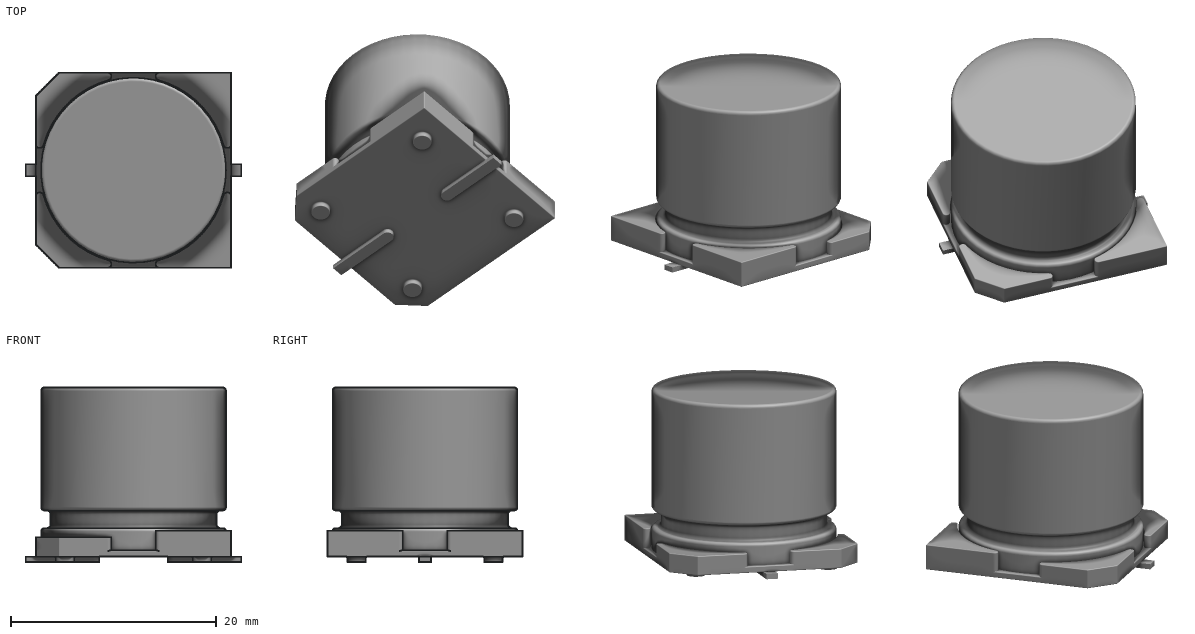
import cadquery as cq
import math


lead_span = 21.0
base_width = 19.0
total_height = 17.0

standoff = 0.52
floor_top = 1.13
low_corner_top = 2.44
high_corner_top = 3.07
corner_chamfer = 2.27
edge_round = 0.08
notch_half_width = 2.16
tip_round = 0.35
socket_radius = 9.1

can_radius = 18.0 / 2
neck_radius = 16.2 / 2
top_round = 0.35
neck_round = 0.34
lower_rim_top = 2.98
neck_bottom = lower_rim_top + 2 * neck_round
neck_top = 4.68
upper_rim_bottom = neck_top + 2 * neck_round

lead_width = 1.18
lead_inner_end = 3.32
pin_diameter = 1.8
pin_offset = 6.65
pin_round = 0.06
pin_root_round = 0.1

half_width = base_width / 2
slab_middle = (standoff + floor_top) / 2
quarter_arc = math.sqrt(0.5)


def base_outline():
    """Square with both -X corners cut at 45 degrees."""
    cut = half_width - corner_chamfer
    return [
        (-half_width, -cut),
        (-cut, -half_width),
        (half_width, -half_width),
        (half_width, half_width),
        (-cut, half_width),
        (-half_width, cut),
    ]


def base_prism(bottom, top):
    """Straight body with the base outline and rounded upright edges."""
    return (
        cq.Workplane("XY", origin=(0, 0, bottom))
        .polyline(base_outline())
        .close()
        .extrude(top - bottom)
        .edges("|Z")
        .fillet(edge_round)
    )


def corner_block(x_side, y_side, top):
    """One raised corner with rounded tips, following the can."""
    height = top - slab_middle
    quarter_size = half_width - notch_half_width
    quarter_centre = (half_width + notch_half_width) / 2
    quarter = (
        cq.Workplane("XY", origin=(0, 0, slab_middle))
        .center(x_side * quarter_centre, y_side * quarter_centre)
        .rect(quarter_size, quarter_size)
        .extrude(height)
    )
    socket = cq.Workplane("XY", origin=(0, 0, slab_middle)).circle(socket_radius).extrude(height)
    block = base_prism(slab_middle, top).intersect(quarter).cut(socket)

    reach = math.sqrt(socket_radius**2 - notch_half_width**2)
    middle = (slab_middle + top) / 2
    for distance in (half_width, reach):
        for x, y in ((notch_half_width, distance), (distance, notch_half_width)):
            nearest = cq.selectors.NearestToPointSelector((x_side * x, y_side * y, middle))
            block = block.edges("|Z").edges(nearest).fillet(tip_round)
    return block.faces(">Z").edges().fillet(edge_round)


def make_base():
    base = base_prism(standoff, floor_top).faces("<Z or >Z").edges().fillet(edge_round)
    for x_side, top in ((-1, low_corner_top), (1, high_corner_top)):
        for y_side in (-1, 1):
            base = base.union(corner_block(x_side, y_side, top))
    return base


def arc_to(profile, centre, side_r, side_z, end):
    """Add a quarter arc whose midpoint lies on the (side_r, side_z) diagonal of its centre."""
    radius = math.dist(centre, end)
    offset = radius * quarter_arc
    through = (centre[0] + side_r * offset, centre[1] + side_z * offset)
    return profile.threePointArc(through, end)


def make_can():
    """Revolved can with a rounded groove above its lower rim."""
    rim_r = can_radius - neck_round
    root_r = neck_radius + neck_round
    lower_shoulder = lower_rim_top + neck_round
    upper_shoulder = neck_top + neck_round
    top_z = total_height - top_round
    top_r = can_radius - top_round

    profile = cq.Workplane("XZ").moveTo(0, slab_middle)
    profile = profile.lineTo(can_radius, slab_middle).lineTo(can_radius, lower_rim_top)
    profile = arc_to(profile, (rim_r, lower_rim_top), 1, 1, (rim_r, lower_shoulder))
    profile = profile.lineTo(root_r, lower_shoulder)
    profile = arc_to(profile, (root_r, neck_bottom), -1, -1, (neck_radius, neck_bottom))
    profile = profile.lineTo(neck_radius, neck_top)
    profile = arc_to(profile, (root_r, neck_top), -1, 1, (root_r, upper_shoulder))
    profile = profile.lineTo(rim_r, upper_shoulder)
    profile = arc_to(profile, (rim_r, upper_rim_bottom), 1, -1, (can_radius, upper_rim_bottom))
    profile = profile.lineTo(can_radius, top_z)
    profile = arc_to(profile, (top_r, top_z), 1, 1, (top_r, total_height))
    return profile.lineTo(0, total_height).close().revolve(360, (0, 0, 0), (0, 1, 0))


def make_lead(side):
    """Flat lead with a round inner end, lying under the base."""
    half_lead = lead_width / 2
    straight_end = lead_inner_end + half_lead
    return (
        cq.Workplane("XY")
        .moveTo(side * lead_span / 2, -half_lead)
        .lineTo(side * straight_end, -half_lead)
        .threePointArc((side * lead_inner_end, 0), (side * straight_end, half_lead))
        .lineTo(side * lead_span / 2, half_lead)
        .close()
        .extrude(standoff)
    )


def add_pins(body):
    """Four standoff pins, rounded at the tip and flared into the base."""
    pin_centres = [(x * pin_offset, y * pin_offset) for x in (-1, 1) for y in (-1, 1)]
    pins = cq.Workplane("XY").pushPoints(pin_centres).circle(pin_diameter / 2).extrude(standoff)
    pins = pins.faces("<Z").edges().fillet(pin_round)
    body = body.union(pins)

    for x, y in pin_centres:
        root = cq.selectors.BoxSelector(
            (x - pin_diameter, y - pin_diameter, standoff - pin_round),
            (x + pin_diameter, y + pin_diameter, standoff + pin_round),
        )
        body = body.edges("%CIRCLE").edges(root).fillet(pin_root_round)
    return body


result = add_pins(make_base()).union(make_can())
for lead_side in (-1, 1):
    result = result.union(make_lead(lead_side))